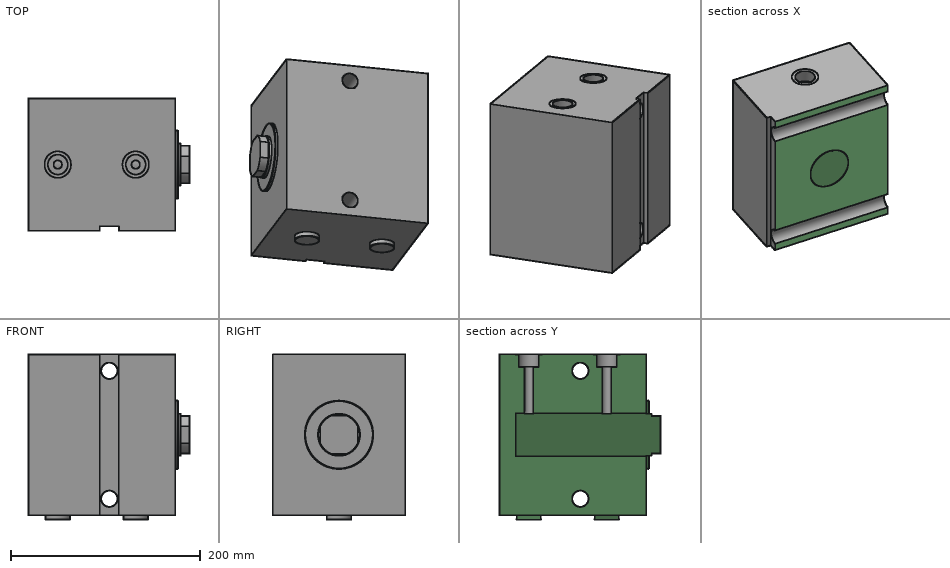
import cadquery as cq

OVERALL_Z = 174.9
BLOCK_X = 155.0
BLOCK_Y = 140.0
BLOCK_Z = 170.0
MID_Y = BLOCK_Y / 2
MID_Z = BLOCK_Z / 2
TOP_FRONT_CHAMFER = 0.3

GROOVE_CENTER_X = 85.4
GROOVE_WIDTH = 20.1
GROOVE_DEPTH = 4.7
MOUNT_HOLE_DIAMETER = 17.0
MOUNT_HOLE_INSET = 17.5

PORT_XS = (31.0, 113.2)
SPOTFACE_DIAMETER = 28.0
SPOTFACE_DEPTH = 0.2
PORT_DIAMETER = 21.0
PORT_DEPTH = 13.5
DRILL_DIAMETER = 9.0
PLUG_DIAMETER = 26.0
PLUG_HEIGHT = OVERALL_Z - BLOCK_Z
PLUG_CHAMFER = 0.5

ROD_DIAMETER = 44.6
ROD_START_X = 17.5
SHOULDER_LENGTH = 6.0
SHOULDER_CHAMFER = 0.5
END_DIAMETER = 43.7
END_ACROSS_FLATS = 39.9
ROD_REACH = 15.0

GLAND_DIAMETER = 72.4
GLAND_THICKNESS = SHOULDER_LENGTH / 2
GLAND_CHAMFER = 0.7


def rod_plane(x):
    """Plane across the rod axis at the given X."""
    return cq.Workplane(cq.Plane(origin=(x, MID_Y, MID_Z), xDir=(0, 0, 1), normal=(1, 0, 0)))


def x_cylinder(diameter, x_start, x_end):
    """Cylinder on the rod axis."""
    return rod_plane(x_start).circle(diameter / 2).extrude(x_end - x_start)


def z_cylinder(diameter, x, z_start, z_end):
    """Upright cylinder on the middle plane of the block."""
    base = cq.Workplane("XY", origin=(x, MID_Y, z_start))
    return base.circle(diameter / 2).extrude(z_end - z_start)


def make_block():
    block = cq.Workplane("XY").box(BLOCK_X, BLOCK_Y, BLOCK_Z, centered=False)

    block = block.faces(">Z").edges("<Y").chamfer(TOP_FRONT_CHAMFER)

    groove = cq.Workplane("XY").box(GROOVE_WIDTH, GROOVE_DEPTH, BLOCK_Z, centered=False)
    block = block.cut(groove.translate((GROOVE_CENTER_X - GROOVE_WIDTH / 2, 0, 0)))

    for z in (MOUNT_HOLE_INSET, BLOCK_Z - MOUNT_HOLE_INSET):
        start = cq.Workplane("XZ", origin=(GROOVE_CENTER_X, 0, z))
        block = block.cut(start.circle(MOUNT_HOLE_DIAMETER / 2).extrude(-BLOCK_Y))

    for x in PORT_XS:
        block = block.cut(z_cylinder(SPOTFACE_DIAMETER, x, BLOCK_Z - SPOTFACE_DEPTH, BLOCK_Z))
        block = block.cut(z_cylinder(PORT_DIAMETER, x, BLOCK_Z - PORT_DEPTH, BLOCK_Z))
        block = block.cut(z_cylinder(DRILL_DIAMETER, x, MID_Z, BLOCK_Z))

    return block.cut(x_cylinder(ROD_DIAMETER, ROD_START_X, BLOCK_X))


def make_rod():
    shoulder_x = BLOCK_X + SHOULDER_LENGTH
    end_x = BLOCK_X + ROD_REACH
    rod = x_cylinder(ROD_DIAMETER, ROD_START_X, shoulder_x)
    rod = rod.faces(">X").chamfer(SHOULDER_CHAMFER)
    end = x_cylinder(END_DIAMETER, shoulder_x, end_x)
    square = rod_plane(shoulder_x).rect(END_ACROSS_FLATS, END_ACROSS_FLATS)
    return rod.union(end.intersect(square.extrude(end_x - shoulder_x)))


def make_gland():
    gland = x_cylinder(GLAND_DIAMETER, BLOCK_X, BLOCK_X + GLAND_THICKNESS)
    gland = gland.faces(">X").chamfer(GLAND_CHAMFER)
    return gland.cut(x_cylinder(ROD_DIAMETER, BLOCK_X, BLOCK_X + GLAND_THICKNESS))


def make_plug(x):
    plug = z_cylinder(PLUG_DIAMETER, x, -PLUG_HEIGHT, 0)
    return plug.faces("<Z").chamfer(PLUG_CHAMFER)


block = make_block()
rod = make_rod()
gland = make_gland()
plugs = [make_plug(x) for x in PORT_XS]

result = cq.Compound.makeCompound([block.val(), rod.val(), gland.val(), *[plug.val() for plug in plugs]])